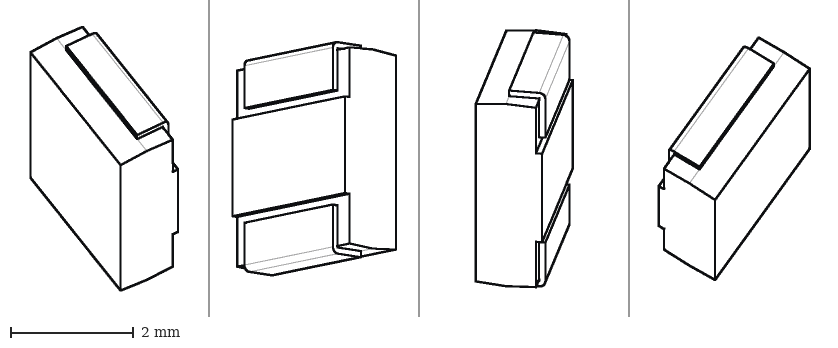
import cadquery as cq
import math

width = 2.8
depth = 1.1
height = 3.5

sheet = 0.1
terminal_width = 2.205
arm_depth = 0.6
foot_height = 0.8
bend_radius = sheet

pad_height = 1.6
front_draft = 5.0
back_draft = 3.0

front_y = -depth / 2
back_y = depth / 2
housing_back_y = back_y - sheet
parting_y = back_y - arm_depth
parting_z = height / 2 - sheet


def make_housing():
    """Block drafted both ways from its parting line, with a raised pad on the back."""
    front_z = parting_z - (parting_y - front_y) * math.tan(math.radians(front_draft))
    back_z = parting_z - (housing_back_y - parting_y) * math.tan(math.radians(back_draft))
    pad_z = pad_height / 2
    upper_half = [
        (front_y, front_z),
        (parting_y, parting_z),
        (housing_back_y, back_z),
        (housing_back_y, pad_z),
        (back_y, pad_z),
    ]
    lower_half = [(y, -z) for y, z in reversed(upper_half)]
    return (
        cq.Workplane("YZ")
        .polyline(upper_half + lower_half)
        .close()
        .extrude(width / 2, both=True)
    )


def make_terminal(side):
    """L-shaped terminal at the top (side = 1) or bottom (side = -1) end."""
    outer_z = side * height / 2
    inner_z = side * parting_z
    foot_z = side * (height / 2 - foot_height)
    profile = [
        (parting_y, outer_z),
        (back_y, outer_z),
        (back_y, foot_z),
        (housing_back_y, foot_z),
        (housing_back_y, inner_z),
        (parting_y, inner_z),
    ]
    blank = cq.Workplane("YZ").polyline(profile).close().extrude(terminal_width / 2, both=True)
    outer_corner = cq.selectors.NearestToPointSelector((0, back_y, outer_z))
    return blank.edges(outer_corner).fillet(bend_radius)


housing = make_housing()
terminals = [make_terminal(side) for side in (1, -1)]

result = cq.Compound.makeCompound([housing.val(), *[terminal.val() for terminal in terminals]])